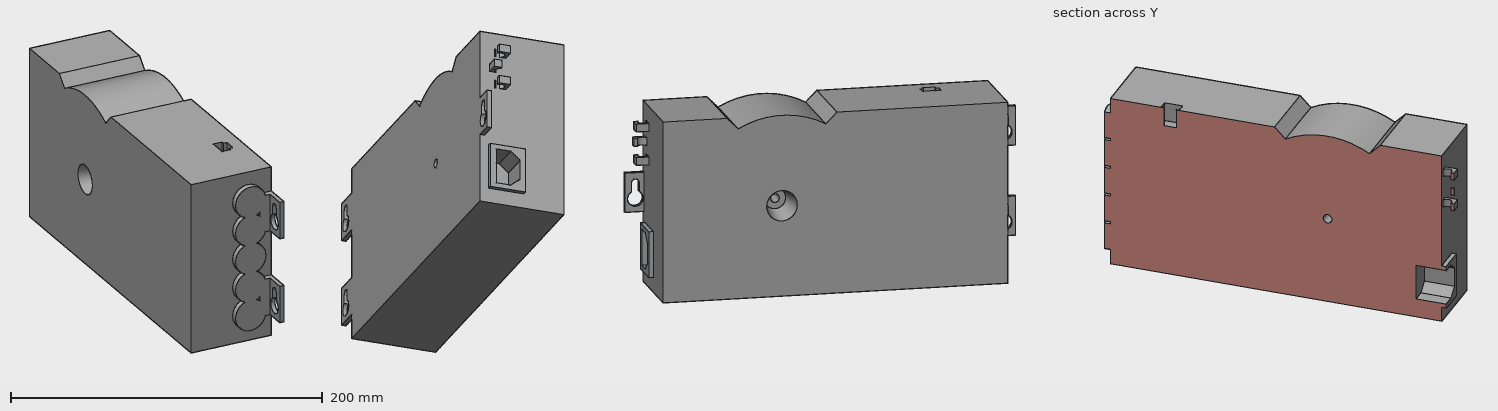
import cadquery as cq
import math


body_length = 227.0
body_depth = 58.0
body_height = 120.0
mid_height = body_height / 2

bore_x = 78.3
bore_mouth_radius = 10.0
bore_floor_radius = 7.0
bore_depth = 20.0
through_radius = 2.8
crown_radius = mid_height
crown_half_width = 28.8

tab_height = 26.0
tab_thickness = 3.0
left_tab_length = 12.5
right_tab_length = 17.8
right_tab_offset = 29.9
right_foot_depth = 10.3
keyhole_head_radius = 5.2
keyhole_slot_radius = 2.5
keyhole_head_drop = 4.0
keyhole_slot_rise = 6.2
left_keyhole_reach = 5.7
right_keyhole_reach = 10.3

disc_count = 5
disc_diameter = 22.0
disc_pitch = 20.0
disc_thickness = 4.0
disc_depth = 17.0

finger_length = 8.5
finger_height = 5.2
finger_pitch = 11.0
middle_finger_z = 95.3
loop_back = 6.7
loop_front = 17.8
outer_finger_back = 10.0
middle_finger_front = 11.8
loop_bore_radius = 3.3
loop_bore_reach = 3.0
loop_bore_depth = 12.4

inlet_flange_thickness = 3.0
inlet_flange_depth = 24.2
inlet_flange_height = 30.5
inlet_flange_back = 6.0
inlet_flange_bottom = 10.0
inlet_opening_depth = 16.5
inlet_opening_height = 24.0
inlet_opening_back = 10.0
inlet_corner_y = 6.5
inlet_corner_z = 5.5
inlet_pocket_depth = 20.5

jack_end_distance = 41.0
jack_x = body_length - jack_end_distance
jack_width = 12.4
jack_back = 11.5
jack_front = 17.8
latch_width = 8.2
latch_back = 9.8
latch_ledge_back = 9.0
latch_ledge_drop = 10.3
jack_pocket_depth = 13.0


def block(x_start, x_end, back, front, bottom, top):
    """Box between two X positions, two distances from the back face and two heights."""
    return (
        cq.Workplane("XY")
        .box(x_end - x_start, front - back, top - bottom, centered=False)
        .translate((x_start, -front, bottom))
    )


def housing():
    """Box whose top edge dips on both sides of the round crown."""
    valley_z = mid_height + math.sqrt(crown_radius**2 - crown_half_width**2)
    dip = body_height - valley_z
    dip_half_width = crown_half_width + dip
    return (
        cq.Workplane("XZ")
        .lineTo(body_length, 0)
        .lineTo(body_length, body_height)
        .lineTo(bore_x + dip_half_width, body_height)
        .lineTo(bore_x + crown_half_width, valley_z)
        .threePointArc((bore_x, body_height), (bore_x - crown_half_width, valley_z))
        .lineTo(bore_x - dip_half_width, body_height)
        .lineTo(0, body_height)
        .close()
        .extrude(body_depth)
    )


def front_bore():
    """Tapered recess in the front face with a small hole running to the back."""
    profile = [
        (0, 0),
        (through_radius, 0),
        (through_radius, -body_depth + bore_depth),
        (bore_floor_radius, -body_depth + bore_depth),
        (bore_mouth_radius, -body_depth),
        (0, -body_depth),
    ]
    return (
        cq.Workplane("XY")
        .polyline(profile)
        .close()
        .revolve(360, (0, 0), (0, 1))
        .translate((bore_x, 0, mid_height))
    )


def tab(x_start, x_end, keyhole_x, center_z):
    """Mounting tab flush with the back face, pierced by a keyhole."""
    plate = block(
        x_start, x_end, 0, tab_thickness, center_z - tab_height / 2, center_z + tab_height / 2
    )
    head_z = center_z - keyhole_head_drop
    slot_z = center_z + keyhole_slot_rise
    head = cq.Workplane("XZ").center(keyhole_x, head_z).circle(keyhole_head_radius)
    slot_end = cq.Workplane("XZ").center(keyhole_x, slot_z).circle(keyhole_slot_radius)
    slot = block(
        keyhole_x - keyhole_slot_radius,
        keyhole_x + keyhole_slot_radius,
        0,
        tab_thickness,
        head_z,
        slot_z,
    )
    return plate.cut(head.extrude(tab_thickness)).cut(slot_end.extrude(tab_thickness)).cut(slot)


def right_tab(center_z):
    """Right tab with a foot along the housing end, reaching into the row of discs."""
    foot = block(
        body_length,
        body_length + disc_thickness,
        0,
        right_foot_depth,
        center_z - tab_height / 2,
        center_z + tab_height / 2,
    )
    plate = tab(
        body_length,
        body_length + right_tab_length,
        body_length + right_keyhole_reach,
        center_z,
    )
    return plate.union(foot)


def disc_row():
    """Upright row of overlapping discs, centred on the housing height."""
    return (
        cq.Workplane("YZ", origin=(body_length, -disc_depth, mid_height))
        .rarray(2.5, disc_pitch, 1, disc_count)
        .circle(disc_diameter / 2)
        .extrude(disc_thickness)
    )


def cable_loop():
    """Outer fingers in front of the bore, middle finger behind it."""
    fingers = cq.Workplane("XY")
    for step in (-1, 0, 1):
        back = loop_back if step == 0 else outer_finger_back
        front = middle_finger_front if step == 0 else loop_front
        bottom = middle_finger_z + step * finger_pitch - finger_height / 2
        fingers = fingers.union(block(-finger_length, 0, back, front, bottom, bottom + finger_height))
    bore = (
        cq.Workplane("XY")
        .center(-loop_bore_reach, -loop_bore_depth)
        .circle(loop_bore_radius)
        .extrude(body_height)
        .intersect(block(-finger_length, 0, 0, body_depth, 0, body_height))
    )
    return fingers.cut(bore)


def inlet_flange():
    """Rectangular frame plate standing on the left end."""
    return block(
        -inlet_flange_thickness,
        0,
        inlet_flange_back,
        inlet_flange_back + inlet_flange_depth,
        inlet_flange_bottom,
        inlet_flange_bottom + inlet_flange_height,
    )


def inlet_pocket():
    """Pocket with two cut corners on its front side, centred on the flange height."""
    back = -inlet_opening_back
    front = back - inlet_opening_depth
    bottom = inlet_flange_bottom + (inlet_flange_height - inlet_opening_height) / 2
    top = bottom + inlet_opening_height
    outline = [
        (back, bottom),
        (front + inlet_corner_y, bottom),
        (front, bottom + inlet_corner_z),
        (front, top - inlet_corner_z),
        (front + inlet_corner_y, top),
        (back, top),
    ]
    return (
        cq.Workplane("YZ", origin=(-inlet_flange_thickness, 0, 0))
        .polyline(outline)
        .close()
        .extrude(inlet_pocket_depth)
    )


def jack_pocket():
    """Jack opening with a narrower latch notch, stepped by a narrow ledge, behind it."""
    floor = body_height - jack_pocket_depth
    opening = block(
        jack_x - jack_width / 2, jack_x + jack_width / 2, jack_back, jack_front, floor, body_height
    )
    latch = block(
        jack_x - latch_width / 2, jack_x + latch_width / 2, latch_back, jack_front, floor, body_height
    )
    ledge = block(
        jack_x - latch_width / 2,
        jack_x + latch_width / 2,
        latch_ledge_back,
        latch_back,
        body_height - latch_ledge_drop,
        body_height,
    )
    return opening.union(latch).union(ledge)


result = (
    housing()
    .union(tab(-left_tab_length, 0, -left_keyhole_reach, mid_height))
    .union(right_tab(mid_height - right_tab_offset))
    .union(right_tab(mid_height + right_tab_offset))
    .union(disc_row())
    .union(cable_loop())
    .union(inlet_flange())
    .cut(inlet_pocket())
    .cut(jack_pocket())
    .cut(front_bore())
)